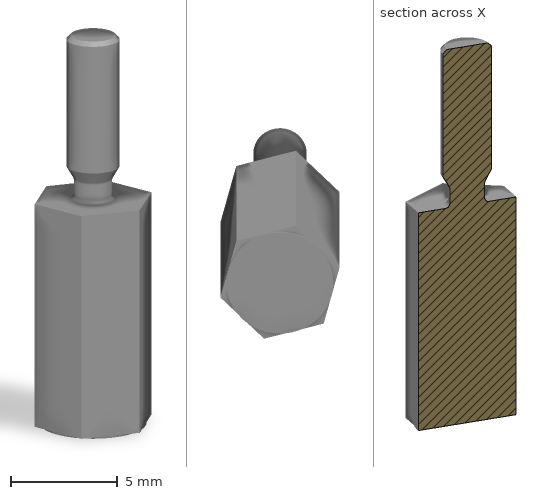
import cadquery as cq
import math

hex_sides = 6
across_flats = 5.0
across_corners = across_flats / math.cos(math.pi / hex_sides)
body_length = 11.0

bearing_diameter = 5.0
bearing_height = 0.1

stud_length = 8.0
stud_diameter = 2.5
stud_radius = stud_diameter / 2
tip_chamfer = 0.2

undercut_length = 1.6
neck_diameter = 1.8
neck_radius = neck_diameter / 2
neck_fillet = 0.2
taper_angle = math.radians(30)
taper_length = (stud_radius - neck_radius) / math.tan(taper_angle)
foot_angle = math.radians(90)


def make_body():
    """Bearing disc with the hexagonal prism on it, corners on the X axis."""
    disc = cq.Workplane("XY").circle(bearing_diameter / 2).extrude(bearing_height)
    hexagon = (
        cq.Workplane("XY")
        .workplane(offset=bearing_height)
        .polygon(hex_sides, across_corners)
        .extrude(body_length - bearing_height)
    )
    return disc.union(hexagon)


def neck_fillet_point(center_z, angle):
    """(radius, z) on a neck fillet; angle 0 touches the neck, positive angles turn upward."""
    center_radius = neck_radius + neck_fillet
    return (
        center_radius - neck_fillet * math.cos(angle),
        center_z + neck_fillet * math.sin(angle),
    )


def make_stud():
    """Stud with a chamfered tip, tapering down to a neck with a fillet at each end."""
    shoulder_z = body_length
    tip_z = shoulder_z + stud_length
    taper_top_z = shoulder_z + undercut_length
    taper_bottom_z = taper_top_z - taper_length

    foot_z = shoulder_z + neck_fillet
    bend_z = taper_bottom_z - neck_fillet * math.tan(taper_angle / 2)

    profile = (
        cq.Workplane("XZ")
        .moveTo(0, shoulder_z)
        .lineTo(*neck_fillet_point(foot_z, -foot_angle))
        .threePointArc(neck_fillet_point(foot_z, -foot_angle / 2), neck_fillet_point(foot_z, 0))
        .lineTo(*neck_fillet_point(bend_z, 0))
        .threePointArc(neck_fillet_point(bend_z, taper_angle / 2), neck_fillet_point(bend_z, taper_angle))
        .lineTo(stud_radius, taper_top_z)
        .lineTo(stud_radius, tip_z - tip_chamfer)
        .lineTo(stud_radius - tip_chamfer, tip_z)
        .lineTo(0, tip_z)
        .close()
    )
    return profile.revolve(360, (0, 0), (0, 1))


result = make_body().union(make_stud())